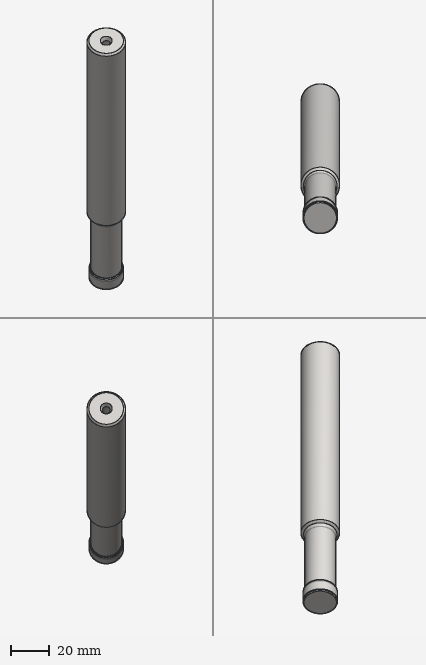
import cadquery as cq
import math

total_length = 180.0

shank_diameter = 20.0
neck_diameter = 16.0
shank_bottom = 50.2
top_chamfer = 1.0
shoulder_cone_diameter = 17.3
shoulder_cone_height = 1.0
neck_flare_height = 2.0

bore_diameter = 4.0
bore_mouth_diameter = 6.1
countersink_depth = 2.2
bore_depth = 18.0
drill_point_angle = 118.0

head_diameter = 18.0
head_height = 8.5
head_face_diameter = 16.7
head_bevel_diameter = 17.6
top_bevel_height = 0.5
top_rim_height = 1.6
bottom_bevel_height = 0.5
bottom_rim_height = 1.0


def revolve_profile(profile):
    """Revolve a closed (radius, height) profile about the Z axis."""
    return profile.close().revolve(360, (0, 0, 0), (0, 1, 0))


def make_bore():
    """Blind drilled bore with a conical countersink at its mouth."""
    bore_radius = bore_diameter / 2
    mouth_radius = bore_mouth_diameter / 2
    point_length = bore_radius / math.tan(math.radians(drill_point_angle / 2))
    bore_end = total_length - bore_depth
    profile = (
        cq.Workplane("XZ")
        .moveTo(0, total_length)
        .lineTo(mouth_radius, total_length)
        .lineTo(bore_radius, total_length - countersink_depth)
        .lineTo(bore_radius, bore_end)
        .lineTo(0, bore_end - point_length)
    )
    return revolve_profile(profile)


def make_shank():
    """Cylindrical shank stepping down through a conical shoulder and flare to the neck."""
    shank_radius = shank_diameter / 2
    neck_radius = neck_diameter / 2
    cone_bottom = shank_bottom - shoulder_cone_height
    profile = (
        cq.Workplane("XZ")
        .moveTo(0, head_height)
        .lineTo(neck_radius, head_height)
        .lineTo(neck_radius, cone_bottom - neck_flare_height)
        .lineTo(shoulder_cone_diameter / 2, cone_bottom)
        .lineTo(shank_radius, shank_bottom)
        .lineTo(shank_radius, total_length - top_chamfer)
        .lineTo(shank_radius - top_chamfer, total_length)
        .lineTo(0, total_length)
    )
    return revolve_profile(profile).cut(make_bore())


def make_head():
    """Disc-shaped head below the neck, with a two-step bevel at both rims."""
    face_radius = head_face_diameter / 2
    bevel_radius = head_bevel_diameter / 2
    rim_radius = head_diameter / 2
    profile = (
        cq.Workplane("XZ")
        .moveTo(0, 0)
        .lineTo(face_radius, 0)
        .lineTo(bevel_radius, bottom_bevel_height)
        .lineTo(rim_radius, bottom_rim_height)
        .lineTo(rim_radius, head_height - top_rim_height)
        .lineTo(bevel_radius, head_height - top_bevel_height)
        .lineTo(face_radius, head_height)
        .lineTo(0, head_height)
    )
    return revolve_profile(profile)


shank = make_shank()
head = make_head()

result = cq.Compound.makeCompound([shank.val(), head.val()])